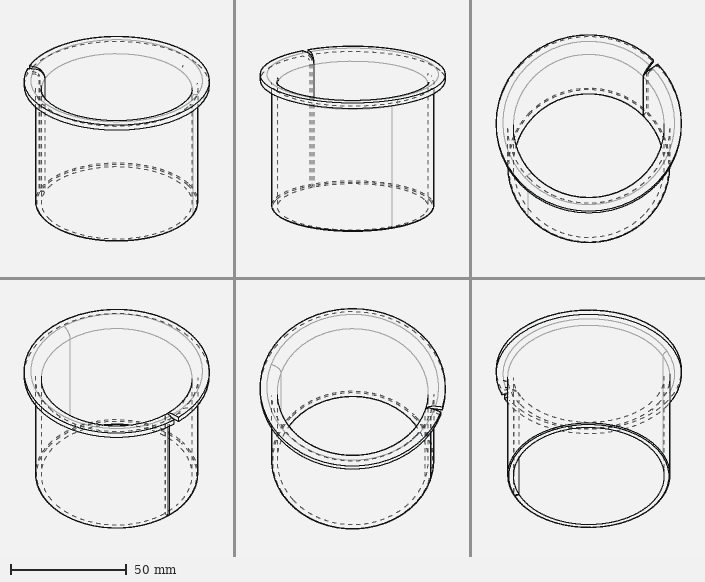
import cadquery as cq
import math

flange_radius = 40.0
height = 60.0
body_radius = 35.0
wall = 2.5
outer_bend_radius = 2.0
bottom_chamfer = 0.5

split_angle = 1.9
split_width_inside = 0.2
split_width_at_rim = 2.6
split_overrun = 0.8

bore_radius = body_radius - wall
bend_radius = outer_bend_radius + wall
bend_center_radius = body_radius + outer_bend_radius
bend_center_z = height - bend_radius


def make_flanged_sleeve():
    """Revolve a constant-thickness wall that bends outward into the flange."""
    diagonal = math.sqrt(0.5)
    inner_bend_middle = (
        bend_center_radius - bend_radius * diagonal,
        bend_center_z + bend_radius * diagonal,
    )
    outer_bend_middle = (
        bend_center_radius - outer_bend_radius * diagonal,
        bend_center_z + outer_bend_radius * diagonal,
    )
    profile = (
        cq.Workplane("XZ")
        .moveTo(bore_radius, 0)
        .lineTo(bore_radius, bend_center_z)
        .threePointArc(inner_bend_middle, (bend_center_radius, height))
        .lineTo(flange_radius, height)
        .lineTo(flange_radius, height - wall)
        .lineTo(bend_center_radius, height - wall)
        .threePointArc(outer_bend_middle, (body_radius, bend_center_z))
        .lineTo(body_radius, bottom_chamfer)
        .lineTo(body_radius - bottom_chamfer, 0)
        .close()
    )
    return profile.revolve(360, (0, 0), (0, 1))


def make_split_cutter():
    """Full-height wedge with straight sides, narrow at the bore and wide at the rim."""
    widening = (split_width_at_rim - split_width_inside) / (flange_radius - bore_radius)

    def half_width(radius):
        return (split_width_inside + widening * (radius - bore_radius)) / 2

    near = bore_radius - split_overrun
    far = flange_radius + split_overrun
    return (
        cq.Workplane("XY", origin=(0, 0, -split_overrun))
        .polyline([
            (-near, half_width(near)),
            (-far, half_width(far)),
            (-far, -half_width(far)),
            (-near, -half_width(near)),
        ])
        .close()
        .extrude(height + 2 * split_overrun)
        .rotate((0, 0, 0), (0, 0, 1), split_angle)
    )


result = make_flanged_sleeve().cut(make_split_cutter())